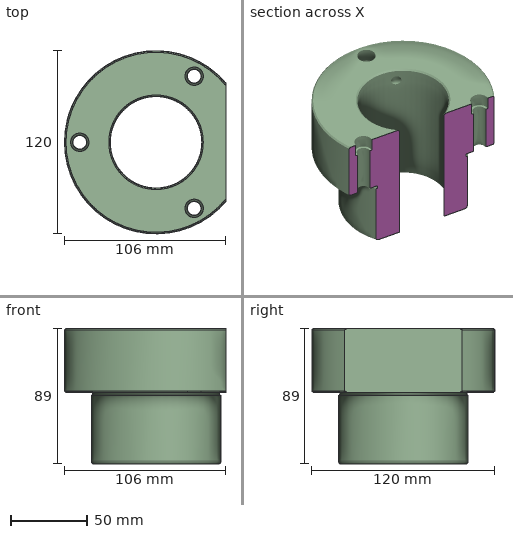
import cadquery as cq
import math

total_height = 89.0
flange_diameter = 120.0
flange_height = 42.0
flange_chamfer = 1.0
flat_distance = 46.0

spigot_diameter = 85.0
spigot_end_radius = 2.0

groove_diameter = 83.4
groove_width = 2.0

bore_diameter = 60.0
bore_chamfer = 1.0

screw_count = 3
screw_circle_radius = 50.0
screw_first_angle = 180.0
screw_hole_diameter = 9.0
screw_counterbore_diameter = 12.0
screw_counterbore_depth = 9.0

cross_hole_diameter = 6.8
cross_hole_depth_below_top = 9.0
cross_hole_angle = 160.0

flange_radius = flange_diameter / 2
spigot_radius = spigot_diameter / 2
groove_radius = groove_diameter / 2
groove_depth = spigot_radius - groove_radius
bore_radius = bore_diameter / 2
flange_bottom = total_height - flange_height
spigot_top = flange_bottom - groove_width
arc_mid_share = 1 - math.cos(math.radians(45))


def make_body():
    """Revolved flange, relief groove and spigot, with the bore left open."""
    spigot_arc_offset = spigot_end_radius * arc_mid_share
    groove_arc_offset = groove_depth * arc_mid_share
    return (
        cq.Workplane("XZ")
        .moveTo(bore_radius, 0)
        .lineTo(spigot_radius - spigot_end_radius, 0)
        .threePointArc(
            (spigot_radius - spigot_arc_offset, spigot_arc_offset),
            (spigot_radius, spigot_end_radius),
        )
        .lineTo(spigot_radius, spigot_top)
        .threePointArc(
            (groove_radius + groove_arc_offset, spigot_top + groove_arc_offset),
            (groove_radius, spigot_top + groove_depth),
        )
        .lineTo(groove_radius, flange_bottom)
        .lineTo(flange_radius - flange_chamfer, flange_bottom)
        .lineTo(flange_radius, flange_bottom + flange_chamfer)
        .lineTo(flange_radius, total_height - flange_chamfer)
        .lineTo(flange_radius - flange_chamfer, total_height)
        .lineTo(bore_radius + bore_chamfer, total_height)
        .lineTo(bore_radius, total_height - bore_chamfer)
        .close()
        .revolve(360, (0, 0, 0), (0, 1, 0))
    )


def cut_flat(body):
    """Trim the flange to a flat facing +X."""
    kept_length = flange_radius + flat_distance
    kept_block = (
        cq.Workplane("XY")
        .box(kept_length, flange_diameter, total_height, centered=(False, True, False))
        .translate((-flange_radius, 0, 0))
    )
    return body.intersect(kept_block)


def cut_screw_holes(body):
    """Counterbored holes through the flange, evenly spaced around the bore."""
    return (
        body.faces(">Z")
        .workplane(origin=(0, 0, total_height))
        .polarArray(screw_circle_radius, screw_first_angle, 360, screw_count)
        .cboreHole(
            screw_hole_diameter,
            screw_counterbore_diameter,
            screw_counterbore_depth,
            flange_height,
        )
    )


def cut_cross_hole(body):
    """Radial hole drilled from the rim, ending in the bore."""
    drill = (
        cq.Workplane("YZ")
        .circle(cross_hole_diameter / 2)
        .extrude(flange_radius)
        .rotate((0, 0, 0), (0, 0, 1), cross_hole_angle)
        .translate((0, 0, total_height - cross_hole_depth_below_top))
    )
    return body.cut(drill)


body = make_body()
body = cut_flat(body)
body = cut_screw_holes(body)
result = cut_cross_hole(body)